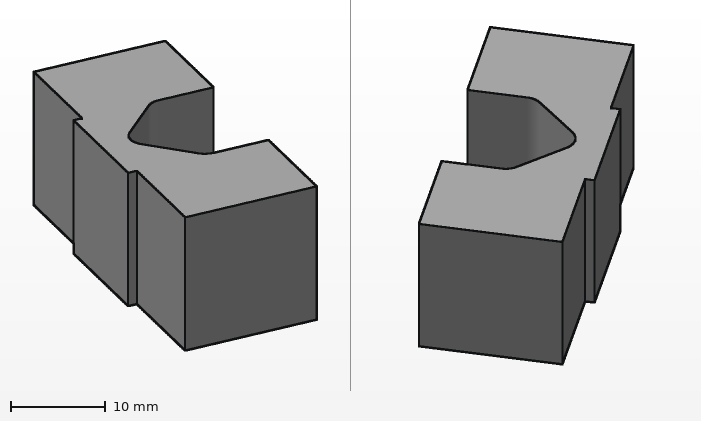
import cadquery as cq

length = 36.0
depth = 16.5
height = 16.0

pad_width = 13.0
pad_thickness = 1.0

notch_width = pad_width
notch_depth = 13.0
root_radius = 2.0
shoulder_radius = 2.0

half_notch = notch_width / 2
notch_bottom = depth - notch_depth
sharp_root = notch_bottom - root_radius * (2**0.5 - 1)
shoulder = sharp_root + half_notch


def make_body():
    """Rectangular block with its -Y face set back by the pad thickness."""
    return cq.Workplane("XY").box(
        length, depth - pad_thickness, height, centered=(True, False, False)
    ).translate((0, pad_thickness, 0))


def make_pad():
    """Full-height pad that overlaps the body up to the notch bottom."""
    return cq.Workplane("XY").box(pad_width, notch_bottom, height, centered=(True, False, False))


def make_notch():
    """Solid filling the notch, with rounded V root and shoulders."""
    outline = [
        (-half_notch, depth),
        (-half_notch, shoulder),
        (0, sharp_root),
        (half_notch, shoulder),
        (half_notch, depth),
    ]
    notch = cq.Workplane("XY").polyline(outline).close().extrude(height)
    notch = notch.edges("|Z and <Y").fillet(root_radius)
    for side in (-half_notch, half_notch):
        corner = cq.selectors.NearestToPointSelector((side, shoulder, height / 2))
        notch = notch.edges("|Z").edges(corner).fillet(shoulder_radius)
    return notch


result = make_body().union(make_pad()).cut(make_notch())